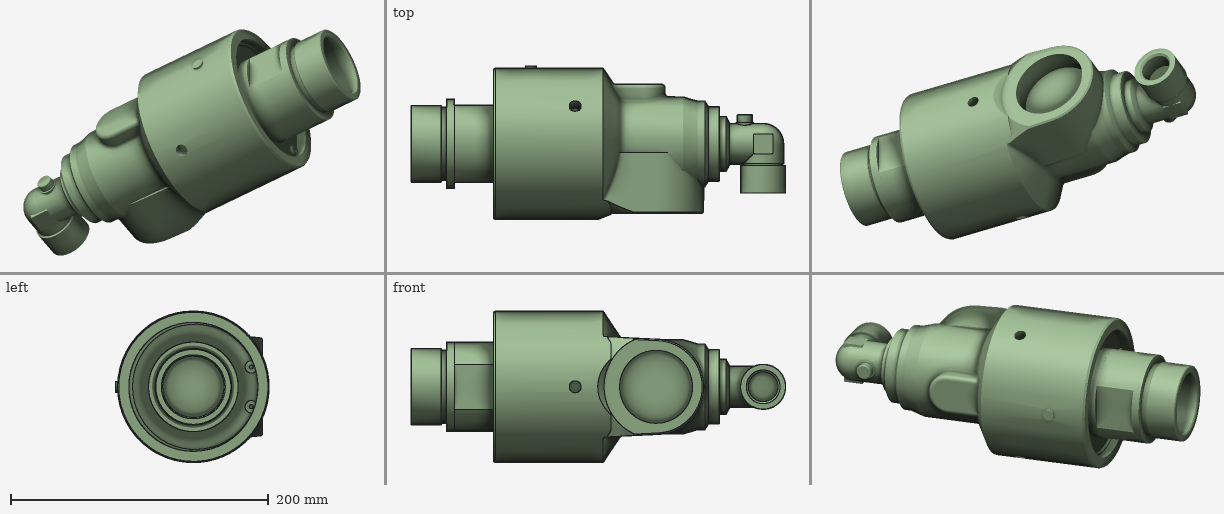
import cadquery as cq
import math


thread_dia = 59.61
thread_length = 24.0
thread_chamfer = 0.7
relief_dia = 57.0
collar_dia = 69.5
collar_start = 27.9
flats_start = 33.8
flats_end = 64.0
flats_shaft_dia = 69.4
flats_across = 60.0
shaft_bore_dia = 47.6
shaft_bore_chamfer = 1.0
shaft_bore_depth = 28.0

body_dia = 117.5
body_start = 64.0
body_end = 149.2
body_overlap = 10.0
body_chamfer_length = 1.8
body_chamfer_height = 0.9
recess_dia = 100.08
recess_depth = 8.0

ring_inner_dia = 97.2
ring_thickness = 2.0
ring_start = body_start + recess_depth - ring_thickness
lug_radius = 4.8
lug_hole_dia = 3.12
lug_offset_y = -44.9
lug_offset_z = 15.4

drain_dia = 9.2
drain_depth = 12.0
drain_x = 127.5
drain_count = 3
pin_dia = 8.6
pin_x = 93.2
pin_height = 1.7

shoulder_slope = 1.5
neck_radius = 36.6
neck_blend_radius = 5.0
neck_end = 211.2
taper_end = 222.5
rear_radius = 33.3
rear_end = 228.0
rear_round = 2.7
flange_dia = 58.0
flange_start = rear_end + rear_round
flange_end = 239.5
flange_chamfer = 0.7
hub_radius = 21.4
hub_end = 244.5
hub_taper_end = 247.3

port_x = 190.2
port_radius = 37.0
port_draft = 2.7
port_face = 53.8
port_inner_y = 6.8
port_hole_dia = 56.6
port_hole_depth = 18.0
port_rim_chamfer = 1.2
port_cone_radius = 40.3
port_cone_slope = 0.69
body_skirt_end = 155.3
port_shoulder_fillet = 2.4
port_neck_fillet = 1.2

pad_x = 181.6
pad_radius = 15.7
pad_height = 46.4
pad_round = 3.4
pad_base_fillet = 2.5

selection_margin = 1.0

elbow_x = 273.23
pipe_dia = 32.0
nut_dia = 35.0
nut_start = 16.6
nut_relief_dia = 31.0
nut_relief_start = 15.1
nut_end = 38.1
nut_bore_dia = 23.0
nut_bore_chamfer = 1.6
nut_bore_depth = 15.0
wrench_pad = 15.3
wrench_pad_round = 1.0
plug_x = 259.0
plug_dia = 11.8
plug_top = 22.8
plug_base_dia = 13.8
plug_base_top = 16.7
plug_round = 1.0


def rod_x(radius, start, end):
    """Cylinder on the main axis between two X positions."""
    return cq.Workplane("YZ").workplane(offset=start).circle(radius).extrude(end - start)


def rod_y(x, radius, start, end):
    """Cylinder along Y at a given X, between two Y positions."""
    return cq.Workplane("XZ", origin=(x, start, 0)).circle(radius).extrude(start - end)


def make_shaft():
    thread = rod_x(thread_dia / 2, 0, thread_length).edges().chamfer(thread_chamfer)
    relief = rod_x(relief_dia / 2, thread_length - thread_chamfer, collar_start)
    front_collar = rod_x(collar_dia / 2, collar_start, flats_start)
    rear_collar = rod_x(collar_dia / 2, flats_end, body_start + recess_depth)
    flats_middle = (flats_start + flats_end) / 2
    across = cq.Workplane("XY", origin=(flats_middle, 0, 0))
    across = across.box(flats_end - flats_start, flats_across, flats_shaft_dia)
    flats = rod_x(flats_shaft_dia / 2, flats_start, flats_end).intersect(across)
    return thread.union(relief).union(front_collar).union(flats).union(rear_collar)


def make_retaining_ring():
    eccentricity = (ring_inner_dia - recess_dia) / 2
    plane = cq.Workplane("YZ").workplane(offset=ring_start)
    disc = plane.circle(recess_dia / 2).extrude(ring_thickness)
    lug_points = [(lug_offset_y, lug_offset_z), (lug_offset_y, -lug_offset_z)]
    lugs = plane.pushPoints(lug_points).circle(lug_radius).extrude(ring_thickness).intersect(disc)
    opening = plane.center(eccentricity, 0).circle(ring_inner_dia / 2).extrude(ring_thickness)
    holes = plane.pushPoints(lug_points).circle(lug_hole_dia / 2).extrude(ring_thickness)
    gap_half_height = lug_offset_z - lug_radius
    gap = plane.center(-recess_dia / 2, 0).rect(recess_dia / 2, 2 * gap_half_height)
    gap = gap.extrude(ring_thickness)
    return disc.cut(opening).cut(gap).union(lugs).cut(holes)


def make_housing():
    """Main body, shoulder, neck, flange and hub as one turned shape."""
    body_radius = body_dia / 2
    slope_angle = math.atan(shoulder_slope)
    corner_x = body_end + (body_radius - neck_radius) / shoulder_slope
    blend_length = neck_blend_radius * math.tan(slope_angle / 2)
    blend_start_x = corner_x - blend_length * math.cos(slope_angle)
    blend_start_radius = neck_radius + blend_length * math.sin(slope_angle)
    profile = (
        cq.Workplane("XY")
        .moveTo(body_start, 0)
        .lineTo(body_start, body_radius - body_chamfer_height)
        .lineTo(body_start + body_chamfer_length, body_radius)
        .lineTo(body_end, body_radius)
        .lineTo(blend_start_x, blend_start_radius)
        .tangentArcPoint((corner_x + blend_length, neck_radius), relative=False)
        .lineTo(neck_end, neck_radius)
        .lineTo(taper_end, rear_radius)
        .lineTo(rear_end, rear_radius)
        .lineTo(flange_start, flange_dia / 2)
        .lineTo(flange_end - flange_chamfer, flange_dia / 2)
        .lineTo(flange_end, flange_dia / 2 - flange_chamfer)
        .lineTo(flange_end, hub_radius)
        .lineTo(hub_end, hub_radius)
        .lineTo(hub_taper_end, pipe_dia / 2)
        .lineTo(hub_taper_end, 0)
        .close()
    )
    housing = profile.revolve(360, (0, 0, 0), (1, 0, 0))
    recess = rod_x(recess_dia / 2, body_start, body_start + recess_depth)
    return housing.cut(recess)


def make_port_outline(extrude_from, extrude_to):
    """Prism with slightly drafted flanks, rounded at the rear, reaching into the housing."""
    draft = math.radians(port_draft)
    tangent_x = port_x + port_radius * math.sin(draft)
    tangent_z = port_radius * math.cos(draft)
    front_x = body_end - body_overlap
    front_z = tangent_z + (tangent_x - front_x) * math.tan(draft)
    return (
        cq.Workplane("XZ", origin=(0, -extrude_from, 0))
        .moveTo(front_x, -front_z)
        .lineTo(tangent_x, -tangent_z)
        .threePointArc((port_x + port_radius, 0), (tangent_x, tangent_z))
        .lineTo(front_x, front_z)
        .close()
        .extrude(extrude_to - extrude_from)
    )


def cone_y(x, start_radius, end_radius, start, end):
    """Cone frustum along Y at a given X, between two Y positions."""
    solid = cq.Solid.makeCone(
        start_radius, end_radius, end - start, cq.Vector(x, start, 0), cq.Vector(0, 1, 0)
    )
    return cq.Workplane(obj=solid)


def make_port():
    """Side port boss; its front corners fall away conically to meet the housing skirt."""
    boss = make_port_outline(port_inner_y, port_face).faces("<Y").edges().chamfer(port_rim_chamfer)
    cone_depth = port_face - port_inner_y
    cone_base = port_cone_radius + cone_depth / port_cone_slope
    boss = boss.intersect(cone_y(port_x, port_cone_radius, cone_base, -port_face, -port_inner_y))
    skirt = rod_x(body_dia / 2, body_end - body_overlap, body_skirt_end)
    return boss.union(skirt.intersect(make_port_outline(port_inner_y, body_dia / 2)))


def make_port_spotface():
    """Conical clearance that lays the port face open through the housing wall."""
    rise = body_dia / 2
    return cone_y(port_x, port_cone_radius + rise, port_cone_radius, -port_face - rise, -port_face)


def add_port(solid):
    """Join the port to the housing and blend its flanks into the shoulder and the neck."""
    solid = solid.union(make_port()).cut(make_port_spotface())
    inner_limit = -port_inner_y - selection_margin
    for side in (1, -1):
        shoulder_edges = cq.selectors.BoxSelector(
            (body_end, -neck_radius, side * neck_radius),
            (port_x, inner_limit, side * body_dia / 2),
        )
        solid = solid.edges(shoulder_edges).edges("not |Y").fillet(port_shoulder_fillet)
    for side in (1, -1):
        neck_edges = cq.selectors.BoxSelector(
            (port_x + selection_margin, -neck_radius, side * selection_margin),
            (taper_end, inner_limit, side * neck_radius),
        )
        solid = solid.edges(neck_edges).edges("not #X").fillet(port_neck_fillet)
    return solid


def add_pad(solid):
    """Pad with a rounded rear end, a filleted foot and a rounded top rim."""
    pad = (
        cq.Workplane("XZ")
        .moveTo(body_end, -pad_radius)
        .lineTo(pad_x, -pad_radius)
        .threePointArc((pad_x + pad_radius, 0), (pad_x, pad_radius))
        .lineTo(body_end, pad_radius)
        .close()
        .extrude(-pad_height)
    )
    pad = pad.edges(">Y").edges("not <X").fillet(pad_round)
    half_width = pad_radius + selection_margin
    foot = cq.selectors.BoxSelector(
        (body_end, neck_radius / 2, -half_width),
        (pad_x + pad_radius, pad_height - pad_round - selection_margin, half_width),
    )
    return solid.union(pad).edges(foot).edges("not |Y").fillet(pad_base_fillet)


def make_elbow():
    pipe_radius = pipe_dia / 2
    elbow = rod_x(pipe_radius, flange_end, elbow_x)
    elbow = elbow.union(rod_y(elbow_x, pipe_radius, 0, -nut_relief_start))
    elbow = elbow.union(rod_y(elbow_x, nut_relief_dia / 2, 0, -nut_start))
    elbow = elbow.union(cq.Workplane("XY", origin=(elbow_x, 0, 0)).sphere(pipe_radius))
    block = cq.Workplane("XY", origin=(elbow_x, 0, 0)).box(wrench_pad, wrench_pad, pipe_dia)
    elbow = elbow.union(block.edges("|Z").fillet(wrench_pad_round))
    nut = rod_y(elbow_x, nut_dia / 2, -nut_start, -nut_end)
    bore = rod_y(elbow_x, nut_bore_dia / 2, -nut_end + nut_bore_depth, -nut_end)
    nut = nut.cut(bore).faces("<Y").edges("%CIRCLE").edges(cq.selectors.RadiusNthSelector(0))
    return elbow.union(nut.chamfer(nut_bore_chamfer))


def make_plug():
    plug = rod_y(plug_x, plug_dia / 2, plug_top, 0).faces(">Y").edges().fillet(plug_round)
    return plug.union(rod_y(plug_x, plug_base_dia / 2, plug_base_top, 0))


def drill_drains(solid):
    radius = body_dia / 2
    hole = rod_y(drain_x, drain_dia / 2, -radius + drain_depth, -radius)
    for index in range(drain_count):
        angle = index * 360 / drain_count
        solid = solid.cut(hole.rotate((0, 0, 0), (1, 0, 0), angle))
    return solid


def bore_shaft(solid):
    mouth_radius = shaft_bore_dia / 2 + shaft_bore_chamfer
    mouth = cq.Solid.makeCone(
        mouth_radius,
        shaft_bore_dia / 2,
        shaft_bore_chamfer,
        cq.Vector(0, 0, 0),
        cq.Vector(1, 0, 0),
    )
    return solid.cut(rod_x(shaft_bore_dia / 2, 0, shaft_bore_depth)).cut(cq.Workplane(obj=mouth))


result = add_port(add_pad(make_housing()))
result = result.cut(rod_y(port_x, port_hole_dia / 2, port_hole_depth - port_face, -port_face))
result = drill_drains(result)
result = result.union(rod_y(pin_x, pin_dia / 2, body_dia / 2 + pin_height, recess_dia / 2))
result = result.union(make_elbow()).union(make_plug())
result = result.union(make_retaining_ring())
result = bore_shaft(result.union(make_shaft()))